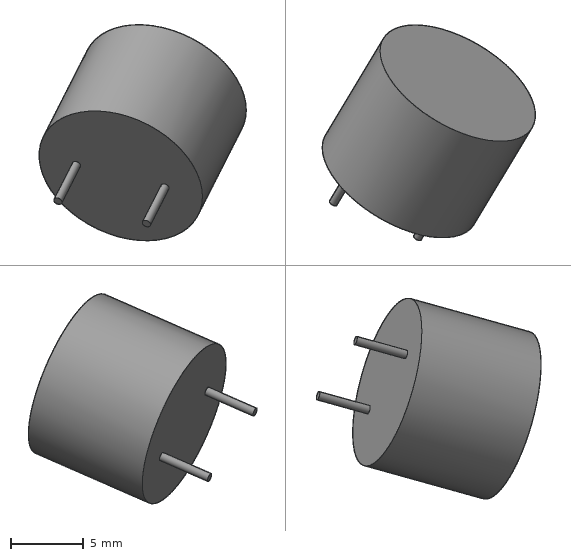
import cadquery as cq

total_length = 12.8
body_diameter = 12.0
body_length = 9.0
pin_diameter = 0.6
pin_spacing = 6.5

pin_length = total_length - body_length


def make_body():
    """Cylinder along Y, with its pin face on the XZ plane."""
    return cq.Workplane("XZ").circle(body_diameter / 2).extrude(-body_length)


def add_pins(body):
    """Two round pins standing out of the body toward -Y."""
    pin_centers = [(side * pin_spacing / 2, 0) for side in (-1, 1)]
    pins = cq.Workplane("XZ").pushPoints(pin_centers).circle(pin_diameter / 2).extrude(pin_length)
    return body.union(pins)


result = add_pins(make_body())